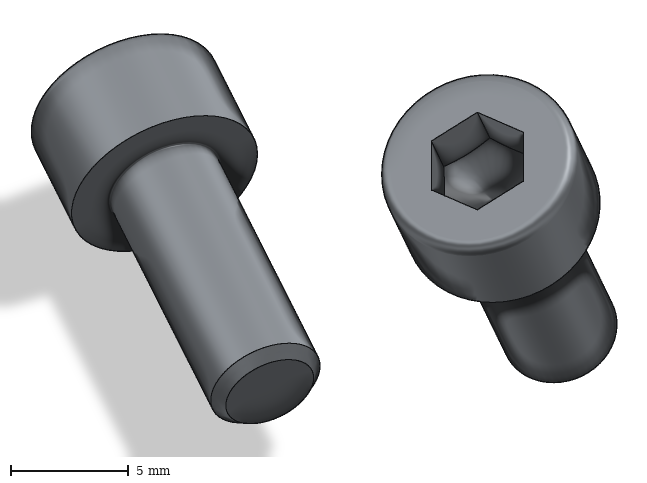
import cadquery as cq
import math

total_length = 17.0
head_diameter = 8.5
head_length = 5.0
head_edge_radius = 0.5
shank_diameter = 5.0
neck_fillet_radius = 0.1
tip_chamfer = 0.5
socket_across_flats = 4.0
socket_depth = 2.5
socket_cone_angle = 120.0

head_radius = head_diameter / 2
shank_radius = shank_diameter / 2
socket_across_corners = socket_across_flats / math.cos(math.pi / 6)
socket_corner_radius = socket_across_corners / 2
cone_depth = socket_corner_radius / math.tan(math.radians(socket_cone_angle / 2))


def make_body():
    """Head and shank, with a rounded head rim, neck fillet and chamfered tip."""
    head = cq.Workplane("YZ").circle(head_radius).extrude(head_length)
    head = head.faces("<X").edges().fillet(head_edge_radius)

    neck_arc_offset = neck_fillet_radius * (1 - math.sqrt(0.5))
    shank = (
        cq.Workplane("XY")
        .moveTo(head_length, 0)
        .lineTo(head_length, shank_radius + neck_fillet_radius)
        .threePointArc(
            (head_length + neck_arc_offset, shank_radius + neck_arc_offset),
            (head_length + neck_fillet_radius, shank_radius),
        )
        .lineTo(total_length - tip_chamfer, shank_radius)
        .lineTo(total_length, shank_radius - tip_chamfer)
        .lineTo(total_length, 0)
        .close()
        .revolve(360, (0, 0, 0), (1, 0, 0))
    )
    return head.union(shank)


def make_socket():
    """Hexagonal socket, corners up and down, ending in a conical bottom."""
    hexagon = (
        cq.Workplane("YZ")
        .transformed(rotate=(0, 0, 90))
        .polygon(6, socket_across_corners)
        .extrude(socket_depth + cone_depth)
    )
    drill_envelope = (
        cq.Workplane("XY")
        .lineTo(0, socket_corner_radius)
        .lineTo(socket_depth, socket_corner_radius)
        .lineTo(socket_depth + cone_depth, 0)
        .close()
        .revolve(360, (0, 0, 0), (1, 0, 0))
    )
    return hexagon.intersect(drill_envelope)


result = make_body().cut(make_socket())